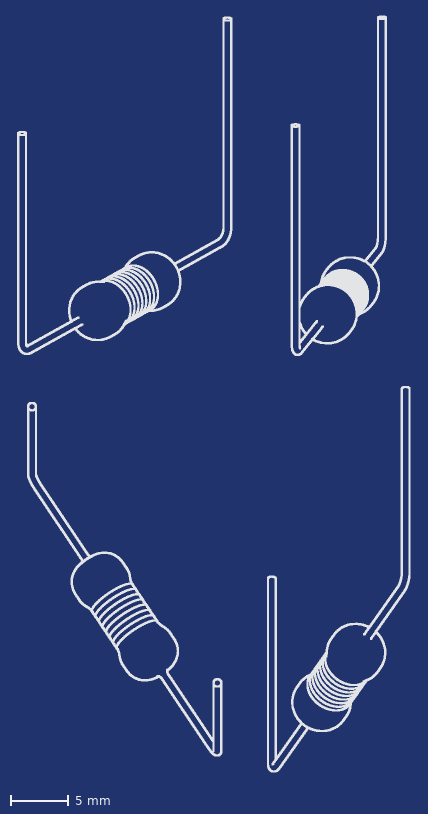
import cadquery as cq
import math


body_half_length = 6.0
cap_radius = 2.5
end_round_radius = 1.8
waist_radius = 4.25 / 2
waist_half_length = 2.0
shoulder_radius = 1.5
root_fillet_radius = 0.5

strip_count = 7
band_radius = 4.27 / 2
strip_width = 2 * waist_half_length / strip_count

wire_radius = 0.35
lead_pitch = 30.0
lead_top_z = 21.1
bend_radius = 3 * wire_radius

shoulder_half_rise = (cap_radius - waist_radius) / 2
shoulder_half_run = math.sqrt(2 * shoulder_radius * shoulder_half_rise - shoulder_half_rise**2)
shoulder_mid_angle = math.asin(shoulder_half_run / shoulder_radius) / 2
shoulder_mid_run = shoulder_radius * math.sin(shoulder_mid_angle)
shoulder_mid_rise = shoulder_radius * (1 - math.cos(shoulder_mid_angle))

end_centre_r = cap_radius - end_round_radius
end_centre_y = body_half_length - end_round_radius
fillet_centre_r = wire_radius + root_fillet_radius
centre_distance = end_round_radius + root_fillet_radius
fillet_offset_angle = math.asin((fillet_centre_r - end_centre_r) / centre_distance)
fillet_centre_y = end_centre_y + centre_distance * math.cos(fillet_offset_angle)


def end_round_point(angle):
    """Point (r, y) on the rounded end, with the angle measured from the Y direction."""
    return (
        end_centre_r + end_round_radius * math.sin(angle),
        end_centre_y + end_round_radius * math.cos(angle),
    )


def root_fillet_point(angle):
    """Point (r, y) on the root fillet, with the angle measured from the -Y direction."""
    return (
        fillet_centre_r - root_fillet_radius * math.sin(angle),
        fillet_centre_y - root_fillet_radius * math.cos(angle),
    )


def make_body_end():
    """The +Y end of the body, from the waist to the lead, revolved about the Y axis."""
    quarter_turn = math.pi / 2
    waist_end = waist_half_length
    shoulder_mid = waist_end + shoulder_half_run
    cap_start = shoulder_mid + shoulder_half_run
    profile = (
        cq.Workplane("XY")
        .moveTo(0, waist_end)
        .lineTo(waist_radius, waist_end)
        .threePointArc(
            (waist_radius + shoulder_mid_rise, waist_end + shoulder_mid_run),
            (waist_radius + shoulder_half_rise, shoulder_mid),
        )
        .threePointArc(
            (cap_radius - shoulder_mid_rise, cap_start - shoulder_mid_run),
            (cap_radius, cap_start),
        )
        .lineTo(cap_radius, end_centre_y)
        .threePointArc(
            end_round_point((quarter_turn + fillet_offset_angle) / 2),
            end_round_point(fillet_offset_angle),
        )
        .threePointArc(
            root_fillet_point((quarter_turn + fillet_offset_angle) / 2),
            root_fillet_point(quarter_turn),
        )
        .lineTo(0, fillet_centre_y)
        .close()
    )
    return profile.revolve(360, (0, 0, 0), (0, 1, 0))


def make_cylinder(radius, start_y, length):
    """A cylinder about the Y axis that runs towards +Y from start_y."""
    return cq.Workplane("XZ", origin=(0, start_y, 0)).circle(radius).extrude(-length)


def make_waist():
    """The plain waist with its raised colour bands."""
    waist = make_cylinder(waist_radius, -waist_half_length, 2 * waist_half_length)
    for strip in range(0, strip_count, 2):
        band_start_y = -waist_half_length + strip * strip_width
        waist = waist.union(make_cylinder(band_radius, band_start_y, strip_width))
    return waist


def make_lead():
    """The +Y lead: straight out of the body, round the bend, then up."""
    lead_y = lead_pitch / 2
    bend_start_y = lead_y - bend_radius
    bend_mid = bend_radius * math.sqrt(0.5)
    path = (
        cq.Workplane("YZ")
        .moveTo(fillet_centre_y, 0)
        .lineTo(bend_start_y, 0)
        .threePointArc((bend_start_y + bend_mid, bend_radius - bend_mid), (lead_y, bend_radius))
        .lineTo(lead_y, lead_top_z)
    )
    return cq.Workplane("XZ", origin=(0, fillet_centre_y, 0)).circle(wire_radius).sweep(path)


end_with_lead = make_body_end().union(make_lead())
result = make_waist().union(end_with_lead).union(end_with_lead.mirror("XZ"))